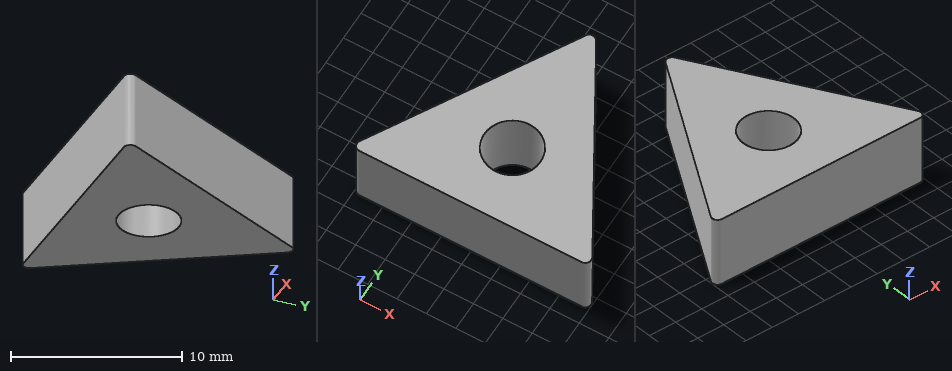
import cadquery as cq
import math

overall_width = 15.92
thickness = 4.76
corner_radius = 0.4
hole_diameter = 3.8

corner_centre_spacing = overall_width - 2 * corner_radius
inscribed_radius = corner_centre_spacing / (2 * math.sqrt(3)) + corner_radius
sharp_corner_distance = 2 * inscribed_radius

corner_angles = [math.radians(angle) for angle in (90, 210, 330)]
corners = [
    (sharp_corner_distance * math.cos(angle), sharp_corner_distance * math.sin(angle))
    for angle in corner_angles
]

body = cq.Workplane("XY").polyline(corners).close().extrude(thickness)
body = body.edges("|Z").fillet(corner_radius)

result = body.faces(">Z").workplane(origin=(0, 0, thickness)).circle(hole_diameter / 2).cutThruAll()